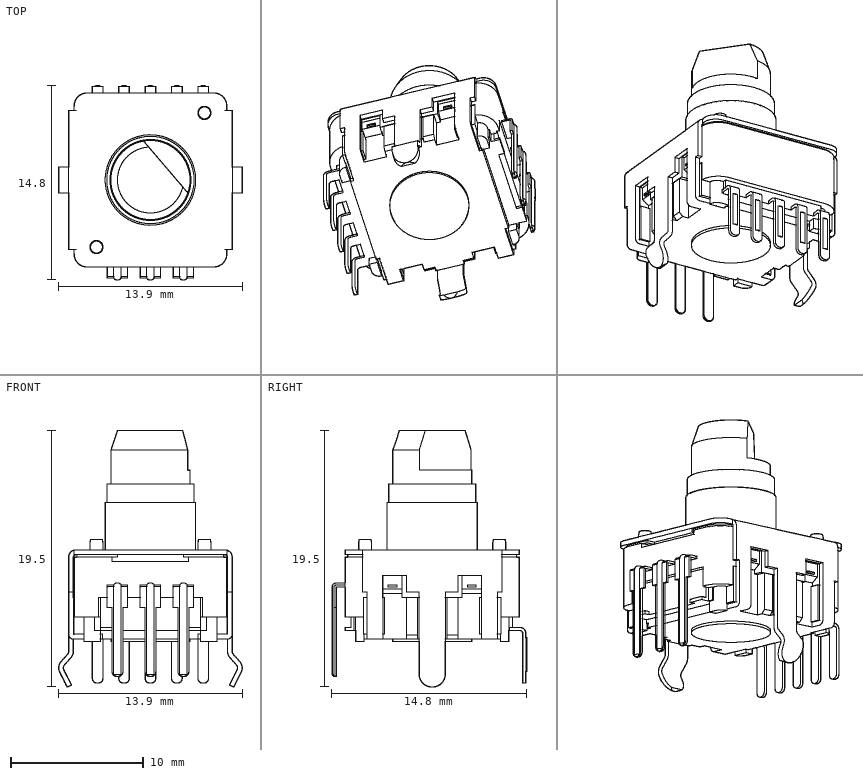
import cadquery as cq
import math


SHAFT_R = 3.0
SHAFT_TOP = 9.05
SHAFT_TIP_R = 2.5
TAPER_H = 1.5
FLAT_BOTTOM = 6.04
FLAT_DISTANCE = 1.52
FLAT_ANGLE = 40.5
BUSHING_R = 3.43
BUSHING_H = 3.6
COLLAR_R = 3.31
COLLAR_TOP = 5.0
SHAFT_GAP = 0.07

SHEET = 0.37
PLATE_X = 11.58
PLATE_Y = 13.2
PLATE_CORNER_R = 1.0
COVER_X = 12.4
COVER_FOLD_R = 0.55
FLANGE_HALF_Y = 5.28
LEG_OUTER_Y = 4.94
LEG_INNER_Y = 3.73
LEG_STEP_Z = -3.18
WINDOW_INNER_Y = 1.96
WINDOW_TOP_Z = -1.95
COVER_BOTTOM = -6.76
TAB_END_X = 3.62
RIVET_X = 4.09
RIVET_Y = 5.08
RIVET_R = 0.5
RIVET_H = 0.8
RIVET_CHAMFER_R = 0.05
RIVET_CHAMFER_H = 0.24

CLIP_W = 2.0
CLIP_REACH_X = 6.88
CLIP_UPPER_Z = -7.89
CLIP_KNEE_Z = -8.86
CLIP_TIP_X = 6.14
CLIP_TIP_Z = -10.32
CLIP_BOTTOM = -10.4
CLIP_BEND_R = 0.34

BODY_X = 11.54
BODY_Y = 13.2
BODY_CORNER_R = 1.53
BODY_TOP = -0.55
BODY_BOTTOM = -5.09
GASKET_INSET = 0.2
GASKET_GAP_X = 5.0
NOTCH_X = 5.8
NOTCH_Z = -0.88
NOTCH_DEPTH = 1.0
SIDE_LEDGE_Z = -3.62
CORE_X = 11.6
MIDDLE_RIB_HALF_Y = 1.12
CORE_Y = 10.4
CORE_BEVEL = 0.3
CORE_BEVEL_HALF_Y = 1.96
FRONT_RECESS_TOP = -3.6
FRONT_RECESS_X = 7.86
FRONT_RECESS_STEP = 0.14
BASE_DISC_R = 3.0
BASE_DISC_BOTTOM = -6.96
PEG_INNER_X = 3.79
PEG_OUTER_X = 5.05
PEG_INNER_Y = 5.16
PEG_OUTER_Y = 5.8
PEG_ROUND_R = 0.6

POCKET_UPPER_X = 5.55
POCKET_LOWER_X = 5.0
POCKET_UPPER_Y = 2.27
POCKET_OUTER_Y = 3.76
POCKET_LOWER_OUTER_Y = 3.6
POCKET_SLOPE_TOP = -2.95
POCKET_SLOPE_BOTTOM = -3.32
NUB_Y = (2.68, 3.33)
NUB_Z = (-2.82, -2.68)
NUB_H = 0.12

CONTACT_SHEET = 0.25
CONTACT_BOTTOM = -6.12
CONTACT_X = 8.48
FRONT_CONTACT_Y = -6.16
BACK_CONTACT_Y = 6.1
FOOT_INNER_X = 2.5
FOOT_END_Y = -6.6

BACK_PIN_PITCH = 2.0
BACK_PIN_COUNT = 5
BACK_PIN_W = 0.82
BACK_PIN_Y = 7.1
BACK_PIN_BOTTOM = -10.1
BACK_PIN_BEND_R = 0.2
BACK_PIN_TIP_R = 0.37
BACK_RIB_H = 0.07
BACK_RIB_W = 0.4
BACK_RIB_Z = (-9.2, -6.65)

FRONT_PIN_PITCH = 2.5
FRONT_PIN_COUNT = 3
FRONT_PIN_W = 0.85
FRONT_PIN_SHEET = 0.17
FRONT_PIN_INNER_Y = -7.26
FRONT_PIN_LOWER_Z = -2.83
FRONT_PIN_BOTTOM = -9.6
FRONT_PIN_TIP_R = 0.4
SHOULDER_W = 1.56
SHOULDER_BOTTOM = -4.35
SHOULDER_CHAMFER = 0.12
CROWN_R = 0.33
CROWN_TIP_CHAMFER = 0.15

EMBED = 0.3


def block(x0, x1, y0, y1, z0, z1):
    """Axis-aligned box between opposite corners."""
    size = (x1 - x0, y1 - y0, z1 - z0)
    return cq.Workplane("XY").box(*size, centered=False).translate((x0, y0, z0))


def slab(x_size, y_size, z0, z1, corner_r):
    """Rounded rectangle centred on the shaft axis."""
    outline = cq.Workplane("XY").workplane(offset=z0).rect(x_size, y_size)
    return outline.extrude(z1 - z0).edges("|Z").fillet(corner_r)


def cylinder(radius, z0, z1):
    return cq.Workplane("XY").workplane(offset=z0).circle(radius).extrude(z1 - z0)


def both_x(piece):
    return piece.union(piece.mirror("YZ"))


def both_y(piece):
    return piece.union(piece.mirror("XZ"))


def bent_strip(plane, middle, thickness, width, inner_r):
    """Sheet strip following a middle line of (u, v) points, with rounded bends."""
    headings = []
    for (u0, v0), (u1, v1) in zip(middle, middle[1:]):
        headings.append(math.atan2(v1 - v0, u1 - u0))
    left = []
    right = []
    for i, (u, v) in enumerate(middle):
        before = headings[max(i - 1, 0)]
        after = headings[min(i, len(headings) - 1)]
        normal = (before + after + math.pi) / 2
        reach = thickness / 2 / math.cos((after - before) / 2)
        du = reach * math.cos(normal)
        dv = reach * math.sin(normal)
        left.append((u + du, v + dv))
        right.append((u - du, v - dv))
    outline = cq.Workplane(plane).polyline(left + right[::-1]).close()
    strip = outline.extrude(width / 2, both=True)
    base = cq.Plane.named(plane)
    for i in range(1, len(middle) - 1):
        turns_left = headings[i] > headings[i - 1]
        left_r = inner_r if turns_left else inner_r + thickness
        right_r = inner_r + thickness if turns_left else inner_r
        for point, radius in ((left[i], left_r), (right[i], right_r)):
            corner = base.toWorldCoords(point).toTuple()
            strip = strip.edges(cq.NearestToPointSelector(corner)).fillet(radius)
    return strip


def make_shaft():
    profile = [
        (0, 0),
        (BUSHING_R, 0),
        (BUSHING_R, BUSHING_H),
        (COLLAR_R, BUSHING_H),
        (COLLAR_R, COLLAR_TOP),
        (SHAFT_R + SHAFT_GAP, COLLAR_TOP),
        (SHAFT_R + SHAFT_GAP, BUSHING_H),
        (SHAFT_R, BUSHING_H),
        (SHAFT_R, SHAFT_TOP - TAPER_H),
        (SHAFT_TIP_R, SHAFT_TOP),
        (0, SHAFT_TOP),
    ]
    shaft = cq.Workplane("XZ").polyline(profile).close().revolve(360, (0, 0), (0, 1))
    flat_cut = block(FLAT_DISTANCE, 2 * SHAFT_R, -SHAFT_R, SHAFT_R, FLAT_BOTTOM, SHAFT_TOP)
    return shaft.cut(flat_cut.rotate((0, 0, 0), (0, 0, 1), FLAT_ANGLE))


def make_cover():
    half = COVER_X / 2
    inner = half - SHEET
    sleeve = block(-half, half, -FLANGE_HALF_Y, FLANGE_HALF_Y, COVER_BOTTOM, 0)
    sleeve = sleeve.edges("|Y and >Z").fillet(COVER_FOLD_R)
    sleeve = sleeve.edges("|Y and <Z").fillet(SHEET)
    hollow = block(-inner, inner, -FLANGE_HALF_Y, FLANGE_HALF_Y, COVER_BOTTOM + SHEET, -SHEET)
    sleeve = sleeve.cut(hollow.edges("|Y and >Z").fillet(COVER_FOLD_R - SHEET))
    sleeve = sleeve.cut(block(-TAB_END_X, TAB_END_X, -FLANGE_HALF_Y, FLANGE_HALF_Y,
                              COVER_BOTTOM, COVER_BOTTOM + SHEET))
    half_outline = [
        (FLANGE_HALF_Y, 0),
        (FLANGE_HALF_Y, LEG_STEP_Z),
        (LEG_OUTER_Y, LEG_STEP_Z),
        (LEG_OUTER_Y, COVER_BOTTOM),
        (LEG_INNER_Y, COVER_BOTTOM),
        (LEG_INNER_Y, WINDOW_TOP_Z),
        (WINDOW_INNER_Y, WINDOW_TOP_Z),
        (WINDOW_INNER_Y, LEG_STEP_Z),
        (0, LEG_STEP_Z),
        (0, 0),
    ]
    trim = cq.Workplane("YZ").polyline(half_outline).close().extrude(half, both=True)
    cover = sleeve.intersect(both_y(trim))
    plate = slab(PLATE_X, PLATE_Y, -SHEET, 0, PLATE_CORNER_R)
    fold_x = half - COVER_FOLD_R
    plate = plate.cut(both_x(block(-half, -fold_x, -FLANGE_HALF_Y, FLANGE_HALF_Y, -SHEET, 0)))
    cover = cover.union(plate)
    for side in (-1, 1):
        rivet = cylinder(RIVET_R, -SHEET, RIVET_H)
        rivet = rivet.faces(">Z").chamfer(RIVET_CHAMFER_H, RIVET_CHAMFER_R)
        cover = cover.union(rivet.translate((side * RIVET_X, side * RIVET_Y, 0)))
    return cover


def make_clips():
    sheet_x = (COVER_X - SHEET) / 2
    middle = [
        (-sheet_x, LEG_STEP_Z + EMBED),
        (-sheet_x, CLIP_UPPER_Z),
        (-CLIP_REACH_X, CLIP_KNEE_Z),
        (-CLIP_TIP_X, CLIP_TIP_Z),
    ]
    clip = bent_strip("XZ", middle, SHEET, CLIP_W, CLIP_BEND_R)
    tip_r = CLIP_W / 2
    tip_centre_z = CLIP_BOTTOM + tip_r
    rounding = (
        cq.Workplane("YZ")
        .moveTo(-tip_r, 0)
        .lineTo(-tip_r, tip_centre_z)
        .threePointArc((0, tip_centre_z - tip_r), (tip_r, tip_centre_z))
        .lineTo(tip_r, 0)
        .close()
        .extrude(COVER_X, both=True)
    )
    return both_x(clip.intersect(rounding))


def make_side_pocket():
    """Stepped pocket behind the window on the -X, +Y quarter."""
    outside = -COVER_X / 2
    upper = block(outside, -POCKET_UPPER_X, POCKET_UPPER_Y, POCKET_OUTER_Y,
                  POCKET_SLOPE_BOTTOM, WINDOW_TOP_Z)
    slope_profile = [
        (outside, POCKET_SLOPE_TOP),
        (-POCKET_UPPER_X, POCKET_SLOPE_TOP),
        (-POCKET_LOWER_X, POCKET_SLOPE_BOTTOM),
        (-POCKET_LOWER_X, SIDE_LEDGE_Z),
        (outside, SIDE_LEDGE_Z),
    ]
    sloped = cq.Workplane("XZ").polyline(slope_profile).close()
    sloped = sloped.extrude(-(POCKET_OUTER_Y - POCKET_UPPER_Y)).translate((0, POCKET_UPPER_Y, 0))
    lower = block(outside, -POCKET_LOWER_X, WINDOW_INNER_Y, POCKET_LOWER_OUTER_Y,
                  COVER_BOTTOM, SIDE_LEDGE_Z)
    return upper.union(sloped).union(lower)


def make_body():
    body = slab(BODY_X, BODY_Y, BODY_BOTTOM, BODY_TOP, BODY_CORNER_R)
    front = -BODY_Y / 2

    step_x = CORE_X / 2
    half_y = CORE_Y / 2
    floor_top = COVER_BOTTOM + SHEET
    core = block(-step_x, step_x, -half_y, half_y, floor_top, SIDE_LEDGE_Z)
    core = core.union(block(-TAB_END_X, TAB_END_X, -half_y, half_y, COVER_BOTTOM, floor_top))
    core = core.union(block(-POCKET_LOWER_X, POCKET_LOWER_X, -LEG_INNER_Y, LEG_INNER_Y,
                            COVER_BOTTOM, floor_top))
    bevel_outline = [
        (-step_x, COVER_BOTTOM + CORE_BEVEL),
        (-step_x + CORE_BEVEL, COVER_BOTTOM),
        (0, COVER_BOTTOM),
        (0, floor_top),
        (-step_x, floor_top),
    ]
    bevelled_edge = cq.Workplane("XZ").polyline(bevel_outline).close()
    core = core.union(both_x(bevelled_edge.extrude(CORE_BEVEL_HALF_Y, both=True)))
    rib_x = COVER_X / 2 - SHEET
    core = core.union(block(-rib_x, rib_x, -MIDDLE_RIB_HALF_Y, MIDDLE_RIB_HALF_Y,
                            COVER_BOTTOM, SIDE_LEDGE_Z))
    body = body.union(core)
    body = body.cut(both_x(both_y(make_side_pocket())))
    nub = block(-POCKET_UPPER_X - NUB_H, -POCKET_UPPER_X, *NUB_Y, *NUB_Z)
    body = body.union(both_x(both_y(nub)))

    body = body.cut(block(-NOTCH_X / 2, NOTCH_X / 2, front, front + NOTCH_DEPTH, NOTCH_Z, BODY_TOP))

    outer_x = FRONT_RECESS_X / 2
    inner_x = outer_x - FRONT_RECESS_STEP
    step_y = (front + FRONT_CONTACT_Y) / 2
    body = body.cut(block(-outer_x, outer_x, front, step_y, BODY_BOTTOM, FRONT_RECESS_TOP))
    body = body.cut(block(-inner_x, inner_x, step_y, FRONT_CONTACT_Y, BODY_BOTTOM, FRONT_RECESS_TOP))

    peg = block(-PEG_OUTER_X, -PEG_INNER_X, PEG_INNER_Y, PEG_OUTER_Y, BASE_DISC_BOTTOM, BODY_BOTTOM + EMBED)
    peg = peg.edges("|Z and <X and >Y").fillet(PEG_ROUND_R)
    body = body.union(both_x(both_y(peg)))
    return body.union(cylinder(BASE_DISC_R, BASE_DISC_BOTTOM, COVER_BOTTOM + EMBED))


def make_gasket():
    """Thin layer between the body and the cover plate, open at the front."""
    x_size = BODY_X - 2 * GASKET_INSET
    y_size = BODY_Y - 2 * GASKET_INSET
    gasket = slab(x_size, y_size, BODY_TOP, -SHEET, BODY_CORNER_R - GASKET_INSET)
    front = -BODY_Y / 2
    opening = block(-GASKET_GAP_X / 2, GASKET_GAP_X / 2, front, front + NOTCH_DEPTH, BODY_TOP, -SHEET)
    return gasket.cut(opening)


def make_contact_plates():
    half = CONTACT_X / 2
    bottom_top = CONTACT_BOTTOM + CONTACT_SHEET
    wall_x = PEG_INNER_X
    filler = block(-half, half, FRONT_CONTACT_Y + CONTACT_SHEET, BACK_CONTACT_Y - CONTACT_SHEET,
                   CONTACT_BOTTOM, BODY_BOTTOM)
    front = block(-wall_x, wall_x, FRONT_CONTACT_Y, FRONT_CONTACT_Y + CONTACT_SHEET,
                  CONTACT_BOTTOM, BODY_BOTTOM + EMBED)
    back = block(-half, half, BACK_CONTACT_Y - CONTACT_SHEET, BACK_CONTACT_Y, CONTACT_BOTTOM,
                 BODY_BOTTOM + EMBED)
    foot = block(-wall_x, -FOOT_INNER_X, FOOT_END_Y, FRONT_CONTACT_Y, CONTACT_BOTTOM, bottom_top)
    return filler.union(front).union(back).union(both_x(foot))


def make_back_pin():
    sheet_z = CONTACT_BOTTOM + CONTACT_SHEET / 2
    sheet_y = BACK_PIN_Y - CONTACT_SHEET / 2
    middle = [
        (BACK_CONTACT_Y - CONTACT_SHEET, sheet_z),
        (sheet_y, sheet_z),
        (sheet_y, BACK_PIN_BOTTOM),
    ]
    pin = bent_strip("YZ", middle, CONTACT_SHEET, BACK_PIN_W, BACK_PIN_BEND_R)
    pin = pin.edges("|Y and <Z").fillet(BACK_PIN_TIP_R)
    half_w = BACK_RIB_W / 2
    rib = (
        cq.Workplane("XY")
        .workplane(offset=BACK_RIB_Z[0])
        .moveTo(-half_w, BACK_PIN_Y)
        .threePointArc((0, BACK_PIN_Y + BACK_RIB_H), (half_w, BACK_PIN_Y))
        .close()
        .extrude(BACK_RIB_Z[1] - BACK_RIB_Z[0])
    )
    return pin.union(rib)


def make_front_pin():
    inner_y = FRONT_PIN_INNER_Y
    outer_y = inner_y - FRONT_PIN_SHEET
    top = FRONT_PIN_LOWER_Z + FRONT_PIN_SHEET
    root_y = -BODY_Y / 2 + EMBED
    half_w = FRONT_PIN_W / 2
    half_shoulder = SHOULDER_W / 2
    shoulder = block(-half_shoulder, half_shoulder, outer_y, root_y, SHOULDER_BOTTOM, top)
    shoulder = shoulder.cut(block(-half_shoulder, half_shoulder, inner_y, root_y,
                                  SHOULDER_BOTTOM, FRONT_PIN_LOWER_Z))
    shoulder = shoulder.edges("|X and <Y and >Z").chamfer(SHOULDER_CHAMFER)
    blade = block(-half_w, half_w, outer_y, inner_y, FRONT_PIN_BOTTOM, SHOULDER_BOTTOM)
    blade = blade.edges("|Y and <Z").fillet(FRONT_PIN_TIP_R)

    centre_z = FRONT_PIN_LOWER_Z
    leg = cylinder(CROWN_R, FRONT_PIN_BOTTOM, centre_z)
    leg = leg.faces("<Z").chamfer(CROWN_TIP_CHAMFER).translate((0, inner_y, 0))
    arm = cq.Workplane("XZ").center(0, centre_z).circle(CROWN_R)
    arm = arm.extrude(root_y - inner_y).translate((0, root_y, 0))
    knuckle = cq.Workplane("XY").sphere(CROWN_R).translate((0, inner_y, centre_z))
    crown = leg.union(arm).union(knuckle)
    crown = crown.cut(block(-CROWN_R, CROWN_R, inner_y, root_y, FRONT_PIN_BOTTOM, centre_z))
    return shoulder.union(blade).union(crown)


def row(pin, count, pitch):
    pins = cq.Workplane("XY")
    for i in range(count):
        pins = pins.add(pin.translate(((i - (count - 1) / 2) * pitch, 0, 0)))
    return pins.combine()


result = make_cover().union(make_shaft()).union(make_gasket()).union(make_body())
result = result.union(make_clips()).union(make_contact_plates())
for pins in (
    row(make_back_pin(), BACK_PIN_COUNT, BACK_PIN_PITCH),
    row(make_front_pin(), FRONT_PIN_COUNT, FRONT_PIN_PITCH),
):
    result = result.union(pins)